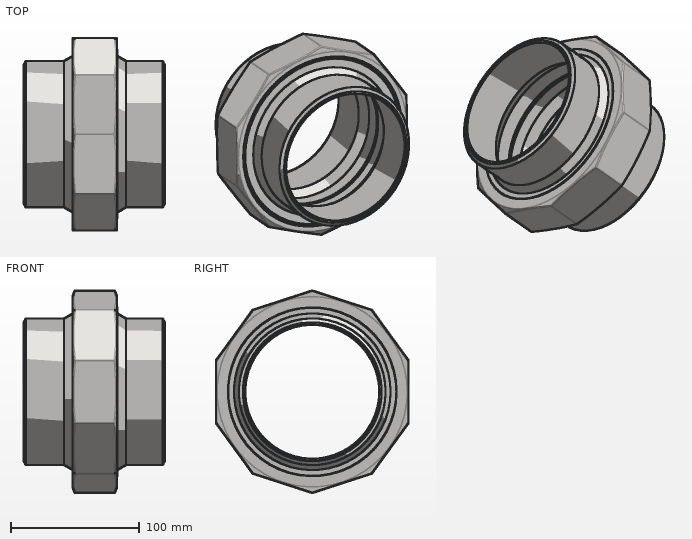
import cadquery as cq
import math


OVERALL_LENGTH = 110.0
CORNER_DIAMETER = 157.6
BEVEL_ANGLE = math.radians(30)

PIPE_DIAMETER = 114.3
PIPE_BORE = 104.3
WELD_LAND_DIAMETER = 108.1
INNER_BORE = 114.0
HUB_CONE_DIAMETER = 122.0
LEFT_PIPE_LENGTH = 31.5
RIGHT_PIPE_LENGTH = 30.3
LEFT_BORE_CONE_SETBACK = 3.0
RIGHT_BORE_CONE_SETBACK = 3.6

LEFT_END = 52.8
RIGHT_START = 54.7
RIGHT_BORE_CHAMFER = 0.5
THREAD_DIAMETER = 137.9
THREAD_FACE_DIAMETER = 136.0
FLANGE_DIAMETER = 136.0
FLANGE_THICKNESS = 7.9
NECK_DIAMETER = 131.0

NUT_SIDES = 10
NUT_START = 38.0
NUT_WIDTH = 34.8
NUT_LIP_BORE = 131.5
NUT_MOUTH_DIAMETER = 140.0
NUT_FACE_DIAMETER = 148.2
NUT_CONE_ANGLE = math.radians(20)
NUT_EDGE_RADIUS = 1.0

NUT_END = NUT_START + NUT_WIDTH
FLANGE_END = RIGHT_START + FLANGE_THICKNESS


def bevel_length(large_diameter, small_diameter):
    """Axial length of a 30-degree cone between two diameters."""
    return (large_diameter - small_diameter) / 2 / math.tan(BEVEL_ANGLE)


def weld_bevel_length():
    """Axial length of the 60-degree weld bevel at a pipe mouth."""
    return (PIPE_DIAMETER - WELD_LAND_DIAMETER) / 2 * math.tan(BEVEL_ANGLE)


HUB_CONE_LENGTH = bevel_length(HUB_CONE_DIAMETER, PIPE_DIAMETER)
BORE_CONE_LENGTH = bevel_length(INNER_BORE, PIPE_BORE)


def revolve_about_x(points):
    """Solid of revolution from (x, diameter) points."""
    profile = [(x, diameter / 2) for x, diameter in points]
    return cq.Workplane("XY").polyline(profile).close().revolve(360, (0, 0, 0), (1, 0, 0))


def make_left_tailpiece():
    """Threaded tailpiece, with its weld end at X = 0."""
    hub_face = LEFT_PIPE_LENGTH + HUB_CONE_LENGTH
    bore_cone_start = LEFT_PIPE_LENGTH + LEFT_BORE_CONE_SETBACK
    thread_chamfer = (THREAD_DIAMETER - THREAD_FACE_DIAMETER) / 2
    return revolve_about_x([
        (0, PIPE_BORE),
        (0, WELD_LAND_DIAMETER),
        (weld_bevel_length(), PIPE_DIAMETER),
        (LEFT_PIPE_LENGTH, PIPE_DIAMETER),
        (hub_face, HUB_CONE_DIAMETER),
        (hub_face, THREAD_FACE_DIAMETER),
        (hub_face + thread_chamfer, THREAD_DIAMETER),
        (LEFT_END, THREAD_DIAMETER),
        (LEFT_END, INNER_BORE),
        (bore_cone_start + BORE_CONE_LENGTH, INNER_BORE),
        (bore_cone_start, PIPE_BORE),
    ])


def make_right_tailpiece():
    """Flanged tailpiece, whose neck passes through the lip of the nut."""
    pipe_start = OVERALL_LENGTH - RIGHT_PIPE_LENGTH
    hub_face = pipe_start - HUB_CONE_LENGTH
    bore_cone_end = pipe_start - RIGHT_BORE_CONE_SETBACK
    return revolve_about_x([
        (OVERALL_LENGTH, PIPE_BORE),
        (OVERALL_LENGTH, WELD_LAND_DIAMETER),
        (OVERALL_LENGTH - weld_bevel_length(), PIPE_DIAMETER),
        (pipe_start, PIPE_DIAMETER),
        (hub_face, HUB_CONE_DIAMETER),
        (hub_face, NECK_DIAMETER),
        (FLANGE_END, NECK_DIAMETER),
        (FLANGE_END, FLANGE_DIAMETER),
        (RIGHT_START, FLANGE_DIAMETER),
        (RIGHT_START, INNER_BORE + 2 * RIGHT_BORE_CHAMFER),
        (RIGHT_START + RIGHT_BORE_CHAMFER, INNER_BORE),
        (bore_cone_end - BORE_CONE_LENGTH, INNER_BORE),
        (bore_cone_end, PIPE_BORE),
    ])


def make_nut_blank():
    """Ten-sided prism with coned ends and rounded edges, a corner pointing up."""
    half_side_angle = math.pi / NUT_SIDES
    corner_rounding_loss = NUT_EDGE_RADIUS * (1 / math.cos(half_side_angle) - 1)
    sharp_corner_diameter = CORNER_DIAMETER + 2 * corner_rounding_loss
    prism = (
        cq.Workplane("YZ", origin=(NUT_START, 0, 0))
        .transformed(rotate=(0, 0, 90))
        .polygon(NUT_SIDES, sharp_corner_diameter)
        .extrude(NUT_WIDTH)
    )
    middle_diameter = NUT_FACE_DIAMETER + NUT_WIDTH / math.tan(NUT_CONE_ANGLE)
    double_cone = revolve_about_x([
        (NUT_START, 0),
        (NUT_START, NUT_FACE_DIAMETER),
        (NUT_START + NUT_WIDTH / 2, middle_diameter),
        (NUT_END, NUT_FACE_DIAMETER),
        (NUT_END, 0),
    ])
    return prism.intersect(double_cone).edges().fillet(NUT_EDGE_RADIUS)


def make_nut():
    """Nut with a countersunk thread bore on the left and a lip on the right."""
    mouth_length = (NUT_MOUTH_DIAMETER - THREAD_DIAMETER) / 2
    cavity = revolve_about_x([
        (NUT_START, 0),
        (NUT_START, NUT_MOUTH_DIAMETER),
        (NUT_START + mouth_length, THREAD_DIAMETER),
        (FLANGE_END, THREAD_DIAMETER),
        (FLANGE_END, NUT_LIP_BORE),
        (NUT_END, NUT_LIP_BORE),
        (NUT_END, 0),
    ])
    return make_nut_blank().cut(cavity)


left_tailpiece = make_left_tailpiece()
right_tailpiece = make_right_tailpiece()
nut = make_nut()

result = cq.Compound.makeCompound([left_tailpiece.val(), right_tailpiece.val(), nut.val()])